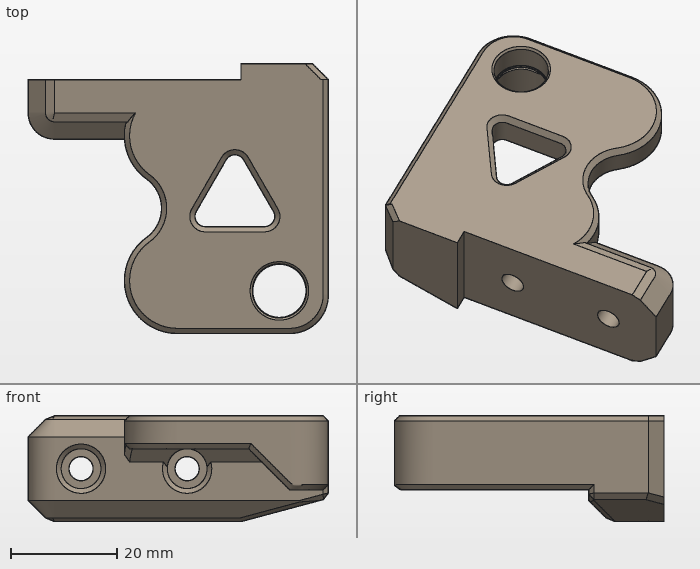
import cadquery as cq
import math

LENGTH = 56.65
DEPTH = 50.9
HEIGHT = 20.0
EDGE_CHAMFER = 1.0

TAB_DEPTH = 3.0
TAB_LEFT = 40.15
BAR_BACK = DEPTH - TAB_DEPTH
BAR_THICKNESS = 11.25
BAR_FRONT = BAR_BACK - BAR_THICKNESS
BAR_CORNER_RADIUS = 5.0
BAR_CHAMFER = 4.0
TAPER_ANGLE = 15.0

SCREW_DIAMETER = 4.5
SCREW_HEAD_DIAMETER = 7.5
SCREW_HEAD_DEPTH = 4.0
SCREW_RIM_CHAMFER = 0.9
SCREW_X = (10.0, 30.0)
SCREW_Z = HEIGHT / 2

PLATE_THICKNESS = 6.25
PLATE_BOTTOM = HEIGHT - PLATE_THICKNESS
PLATE_CORNER_RADIUS = 7.3
LOBE_RADIUS = 10.0
LOBE_LEFT = 18.15
LOBE_X = LOBE_LEFT + LOBE_RADIUS
LOBE_SPACING = 27.3
NECK_X = 25.15

WALL_BOTTOM = 6.0
WALL_DROP = PLATE_BOTTOM - WALL_BOTTOM
WALL_LEFT = 53.0
WALL_FILLET = 7.15
FLANGE_THICKNESS = 3.1
FLANGE_FOOT_X = LENGTH - PLATE_CORNER_RADIUS
GUSSET_SIZE = 2.5

HOLE_DIAMETER = 10.25
HOLE_LOWER_DIAMETER = 10.0
HOLE_X = 47.4
HOLE_Y = 8.07
HOLE_TOP_CHAMFER = 0.4
HOLE_LOWER_CHAMFER = 0.5
HOLE_SEAT_Z = PLATE_BOTTOM + 1.0

WINDOW_X = 39.0
WINDOW_BOTTOM = 20.2
WINDOW_CORNER_RADIUS = 1.9
WINDOW_CORNER_SPACING = 11.2

TOLERANCE = 0.01
DOWNWARD_LIMIT = -0.9


def near(a, b):
    return abs(a - b) < TOLERANCE


def plan_prism(points, z_low, z_high):
    """Extrude a plan outline between two heights."""
    return cq.Workplane("XY", origin=(0, 0, z_low)).polyline(points).close().extrude(z_high - z_low)


def plan_rectangle(left, front, right, back, z_low, z_high):
    return plan_prism([(left, front), (right, front), (right, back), (left, back)], z_low, z_high)


def is_outer_edge(edge):
    """False for edges on the back of the bar, on the left side of the tab and at the start of the taper."""
    center = edge.Center()
    on_bar_back = near(center.y, BAR_BACK) and center.x < TAB_LEFT
    on_tab_back = near(center.y, DEPTH)
    return not (on_bar_back or on_tab_back or near(center.x, TAB_LEFT))


def faces_down(face):
    """True for the flat and the tapered underside of the bar."""
    return face.normalAt().z < DOWNWARD_LIMIT


def is_bar_rim(edge):
    """True for edges along the front, the rounded corner and the left end of the bar."""
    center = edge.Center()
    return near(center.y, BAR_FRONT) or center.x < BAR_CORNER_RADIUS


def bar():
    """Bar with a back tab, a tapered underside and chamfered rims."""
    outline = [
        (0, BAR_FRONT),
        (LENGTH, BAR_FRONT),
        (LENGTH, BAR_BACK),
        (LENGTH - TAB_DEPTH, DEPTH),
        (TAB_LEFT, DEPTH),
        (TAB_LEFT, BAR_BACK),
        (0, BAR_BACK),
    ]
    body = plan_prism(outline, 0, HEIGHT).edges("|Z and <X and <Y").fillet(BAR_CORNER_RADIUS)
    rim = body.faces("<Z or >Z").edges().filter(is_bar_rim)
    rim = rim.filter(is_outer_edge)
    body = rim.chamfer(BAR_CHAMFER)

    rise = (LENGTH - TAB_LEFT) * math.tan(math.radians(TAPER_ANGLE))
    wedge = (
        cq.Workplane("XZ", origin=(0, DEPTH, 0))
        .polyline([(TAB_LEFT, 0), (LENGTH, 0), (LENGTH, rise)])
        .close()
        .extrude(DEPTH)
    )
    body = body.cut(wedge)

    top_rim = body.faces(">Z").edges().filter(is_outer_edge)
    body = top_rim.chamfer(EDGE_CHAMFER)
    under_rim = body.faces().filter(faces_down).edges().filter(is_outer_edge)
    right_corner = body.edges("|Z and >X and <Y")
    return under_rim.add(right_corner).chamfer(EDGE_CHAMFER)


def plate_outline():
    """Plan outline of the plate, ending inside the bar."""
    lobe_low_y = LOBE_RADIUS
    lobe_high_y = LOBE_RADIUS + LOBE_SPACING
    neck_y = (lobe_low_y + lobe_high_y) / 2
    half = LOBE_SPACING / 2
    reach = NECK_X - LOBE_X
    neck_radius = (half**2 + reach**2 - LOBE_RADIUS**2) / (2 * (LOBE_RADIUS + reach))
    neck_center_x = NECK_X - neck_radius
    share = LOBE_RADIUS / (LOBE_RADIUS + neck_radius)
    join_x = LOBE_X + (neck_center_x - LOBE_X) * share
    join_low_y = lobe_low_y + half * share
    join_high_y = lobe_high_y - half * share
    return (
        cq.Workplane("XY", origin=(0, 0, WALL_BOTTOM))
        .moveTo(LENGTH, BAR_BACK)
        .lineTo(LENGTH, PLATE_CORNER_RADIUS)
        .radiusArc((LENGTH - PLATE_CORNER_RADIUS, 0), PLATE_CORNER_RADIUS)
        .lineTo(LOBE_X, 0)
        .threePointArc((LOBE_LEFT, lobe_low_y), (join_x, join_low_y))
        .threePointArc((NECK_X, neck_y), (join_x, join_high_y))
        .threePointArc((LOBE_LEFT, lobe_high_y), (LOBE_X, lobe_high_y + LOBE_RADIUS))
        .lineTo(LOBE_X, BAR_BACK)
        .close()
    )


def under_slope(depth):
    """Prism below the plate, from the front to the given depth, bounded by the 45 degree slope on its left."""
    side = [
        (FLANGE_FOOT_X - WALL_DROP, PLATE_BOTTOM),
        (LENGTH, PLATE_BOTTOM),
        (LENGTH, WALL_BOTTOM),
        (FLANGE_FOOT_X, WALL_BOTTOM),
    ]
    return cq.Workplane("XZ").polyline(side).close().extrude(-depth)


def inner_fillet():
    """Rounded inner corner between the wall and the flange, trimmed by the slope."""
    wall_end_y = FLANGE_THICKNESS + WALL_FILLET
    corner = (
        cq.Workplane("XY", origin=(0, 0, WALL_BOTTOM))
        .moveTo(WALL_LEFT, FLANGE_THICKNESS)
        .lineTo(WALL_LEFT, wall_end_y)
        .radiusArc((WALL_LEFT - WALL_FILLET, FLANGE_THICKNESS), WALL_FILLET)
        .close()
        .extrude(WALL_DROP)
    )
    return corner.intersect(under_slope(wall_end_y))


def plate():
    """Lobed plate with the wall, the flange and the gusset below it, chamfered along its outline."""
    slab = plan_rectangle(0, 0, LENGTH, BAR_BACK, PLATE_BOTTOM, HEIGHT)
    wall = plan_rectangle(WALL_LEFT, 0, LENGTH, BAR_BACK, WALL_BOTTOM, PLATE_BOTTOM)
    flange = under_slope(FLANGE_THICKNESS)

    gusset_front = BAR_FRONT - GUSSET_SIZE
    gusset_side = [
        (gusset_front, PLATE_BOTTOM),
        (gusset_front + WALL_DROP, WALL_BOTTOM),
        (BAR_BACK, WALL_BOTTOM),
        (BAR_BACK, PLATE_BOTTOM),
    ]
    gusset = cq.Workplane("YZ").polyline(gusset_side).close().extrude(LENGTH)

    stock = slab.union(wall).union(flange).union(gusset)
    body = plate_outline().extrude(HEIGHT - WALL_BOTTOM).intersect(stock)
    body = body.faces("%CYLINDER or >X or <Y").edges("not |Z").chamfer(EDGE_CHAMFER)
    return body.union(inner_fillet())


def cut_window(body):
    """Cut the rounded triangular window and chamfer its top edge."""
    corner_y = WINDOW_BOTTOM + WINDOW_CORNER_RADIUS
    half = WINDOW_CORNER_SPACING / 2
    centers = [
        (WINDOW_X - half, corner_y),
        (WINDOW_X + half, corner_y),
        (WINDOW_X, corner_y + half * math.sqrt(3)),
    ]
    window = (
        cq.Workplane("XY", origin=(0, 0, HEIGHT))
        .polyline(centers)
        .close()
        .offset2D(WINDOW_CORNER_RADIUS)
        .extrude(-PLATE_THICKNESS)
    )
    body = body.cut(window)
    rim = body.faces(">Z").wires(cq.NearestToPointSelector((WINDOW_X, corner_y, HEIGHT)))
    return rim.chamfer(EDGE_CHAMFER)


def cut_round_hole(body):
    """Cut the stepped vertical hole, flared at the top and at the underside of the plate."""
    radius = HOLE_DIAMETER / 2
    lower_radius = HOLE_LOWER_DIAMETER / 2
    section = [
        (0, 0),
        (lower_radius, 0),
        (lower_radius, PLATE_BOTTOM),
        (lower_radius + HOLE_LOWER_CHAMFER, PLATE_BOTTOM),
        (lower_radius, PLATE_BOTTOM + HOLE_LOWER_CHAMFER),
        (lower_radius, HOLE_SEAT_Z),
        (radius, HOLE_SEAT_Z),
        (radius, HEIGHT - HOLE_TOP_CHAMFER),
        (radius + HOLE_TOP_CHAMFER, HEIGHT),
        (0, HEIGHT),
    ]
    cutter = cq.Workplane("XZ").polyline(section).close().revolve(360, (0, 0, 0), (0, 1, 0))
    return body.cut(cutter.translate((HOLE_X, HOLE_Y, 0)))


def cut_screw_hole(body, x):
    """Cut one screw hole with a head recess that also clears the gusset."""
    axis = cq.Workplane("XZ", origin=(x, 0, SCREW_Z))
    shank = axis.circle(SCREW_DIAMETER / 2).extrude(-DEPTH)
    head = axis.circle(SCREW_HEAD_DIAMETER / 2).extrude(-(BAR_FRONT + SCREW_HEAD_DEPTH))
    head = head.intersect(plan_rectangle(0, BAR_FRONT - GUSSET_SIZE, LENGTH, DEPTH, 0, HEIGHT))
    return body.cut(shank).cut(head)


def is_screw_rim(edge):
    """True for the head recess edges on the front face of the bar."""
    return near(edge.Center().y, BAR_FRONT) and near(edge.radius(), SCREW_HEAD_DIAMETER / 2)


result = bar().union(plate())
result = cut_window(result)
result = cut_round_hole(result)
for screw_x in SCREW_X:
    result = cut_screw_hole(result, screw_x)
result = result.edges("%CIRCLE").filter(is_screw_rim).chamfer(SCREW_RIM_CHAMFER)